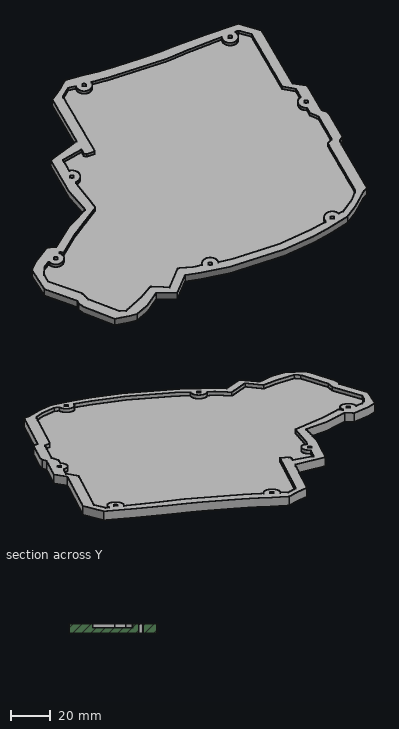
import cadquery as cq


LENGTH_X = 160.91
LENGTH_Y = 179.4
HEIGHT = 5.0
POCKET_DEPTH = 2.0
FLOOR_THICKNESS = HEIGHT - POCKET_DEPTH

SCREW_HOLE_DIAMETER = 2.0
BOSS_RADIUS = 4.2

RIM_WIDTH = 5.7
STEP_RIM_WIDTH = 6.2

LEFT = -LENGTH_X / 2
RIGHT = LENGTH_X / 2
BACK = LENGTH_Y / 2
FRONT = -LENGTH_Y / 2

LEFT_BACK_EDGE = 81.0
STEP_BACK_EDGE = 87.2
LEFT_FRONT_EDGE = -34.3
MIDDLE_FRONT_EDGE = -51.4

RIGHT_SIDE = 69.6
RIGHT_RIM_WIDTH = 4.4

OUTER_CORNERS = [
    (LEFT, 72.0),
    (-71.5, LEFT_BACK_EDGE),
    (-32.3, LEFT_BACK_EDGE),
    (-28.1, STEP_BACK_EDGE),
    (-9.8, STEP_BACK_EDGE),
    (-8.0, 89.0),
    (-5.6, BACK),
    (10.9, BACK),
    (12.8, STEP_BACK_EDGE),
    (47.8, STEP_BACK_EDGE),
    (49.2, 84.6),
    (56.8, 76.9),
    (61.6, 70.5),
    (65.0, 59.2),
    (67.3, 49.3),
    (RIGHT_SIDE, 32.5),
    (RIGHT_SIDE, 2.8),
    (67.4, -12.8),
    (65.8, -20.4),
    (75.2, -28.7),
    (71.0, -38.4),
    (77.1, -45.8),
    (RIGHT, -53.0),
    (80.2, -57.0),
    (79.0, -64.7),
    (65.3, -75.8),
    (62.2, -77.1),
    (60.4, -77.0),
    (46.5, -89.1),
    (31.9, FRONT),
    (27.5, -85.6),
    (21.0, -76.8),
    (22.4, -72.2),
    (12.4, -61.0),
    (5.0, -48.8),
    (-9.6, MIDDLE_FRONT_EDGE),
    (-32.6, MIDDLE_FRONT_EDGE),
    (-33.6, -49.4),
    (-39.4, LEFT_FRONT_EDGE),
    (-70.3, LEFT_FRONT_EDGE),
    (-75.0, -28.2),
    (-79.8, -23.3),
    (-79.4, -14.2),
    (-78.5, -5.4),
    (-78.3, 2.8),
    (-78.3, 20.5),
    (-78.6, 28.6),
    (-79.3, 37.5),
    (-79.7, 46.3),
    (-80.1, 54.4),
    (-80.4, 70.2),
]

POCKET_CORNERS = [
    (-76.0, 70.3),
    (-71.2, LEFT_BACK_EDGE - RIM_WIDTH),
    (-32.5, LEFT_BACK_EDGE - RIM_WIDTH),
    (-28.2, STEP_BACK_EDGE - STEP_RIM_WIDTH),
    (-10.4, STEP_BACK_EDGE - STEP_RIM_WIDTH),
    (-6.4, BACK - RIM_WIDTH),
    (10.1, BACK - RIM_WIDTH),
    (12.2, STEP_BACK_EDGE - STEP_RIM_WIDTH),
    (47.2, STEP_BACK_EDGE - STEP_RIM_WIDTH),
    (52.2, 76.8),
    (57.6, 69.8),
    (58.1, 66.2),
    (60.7, 58.6),
    (62.6, 49.8),
    (RIGHT_SIDE - RIGHT_RIM_WIDTH, 31.5),
    (RIGHT_SIDE - RIGHT_RIM_WIDTH, 6.0),
    (64.5, -0.6),
    (62.7, -10.4),
    (62.6, -13.7),
    (60.0, -21.9),
    (70.3, -30.8),
    (66.0, -39.4),
    (70.9, -46.7),
    (76.2, -57.1),
    (75.1, -60.4),
    (61.5, -71.6),
    (56.6, -72.8),
    (42.5, -85.3),
    (37.0, -85.3),
    (32.7, -83.2),
    (29.0, -78.0),
    (26.4, -71.8),
    (27.4, -70.1),
    (18.2, -60.1),
    (5.8, -43.5),
    (-11.0, MIDDLE_FRONT_EDGE + RIM_WIDTH),
    (-30.4, MIDDLE_FRONT_EDGE + RIM_WIDTH),
    (-33.2, LEFT_FRONT_EDGE),
    (-30.1, LEFT_FRONT_EDGE),
    (-29.3, -33.2),
    (-29.3, LEFT_FRONT_EDGE + RIM_WIDTH),
    (-70.0, LEFT_FRONT_EDGE + RIM_WIDTH),
    (-74.3, -23.8),
    (-73.8, -19.6),
    (-72.7, -2.3),
    (-72.7, 29.5),
    (-74.0, 41.7),
    (-75.3, 60.1),
]

SCREW_POSITIONS = [
    (-73.8, 64.7),
    (-18.2, 82.3),
    (59.3, 63.1),
    (63.7, -5.7),
    (29.5, -75.5),
    (-18.2, -46.0),
    (-72.9, -15.7),
]


def make_plate():
    return cq.Workplane("XY").polyline(OUTER_CORNERS).close().extrude(HEIGHT)


def make_pocket():
    """Volume removed above the floor, leaving the rim and the bosses standing."""
    floor = cq.Workplane("XY").workplane(offset=FLOOR_THICKNESS)
    pocket = floor.polyline(POCKET_CORNERS).close().extrude(POCKET_DEPTH)
    bosses = floor.pushPoints(SCREW_POSITIONS).circle(BOSS_RADIUS).extrude(POCKET_DEPTH)
    return pocket.cut(bosses)


def make_screw_holes():
    holes = cq.Workplane("XY").pushPoints(SCREW_POSITIONS)
    return holes.circle(SCREW_HOLE_DIAMETER / 2).extrude(HEIGHT)


result = make_plate().cut(make_pocket()).cut(make_screw_holes())